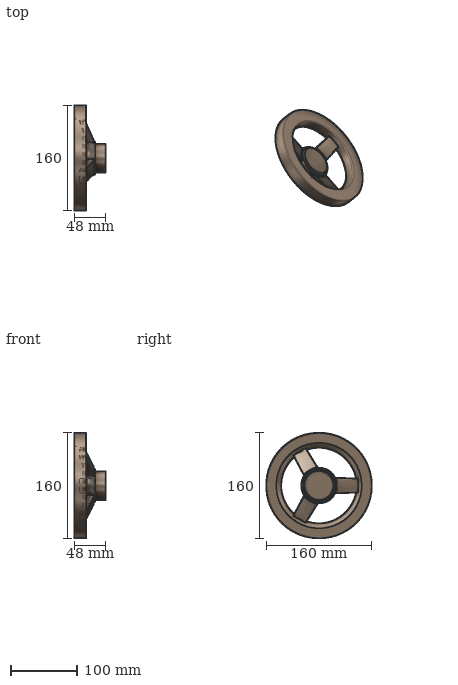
import cadquery as cq
import math

rim_radius = 80.0
rim_width = 18.0
rim_edge_round = 1.0
bore_front_radius = 59.6
bore_front_round = 2.0
bore_taper_angle = 11.6
bevel_front_x = 13.5
bevel_angle = 60.0
bevel_round = 1.2

hub_front_x = 16.3
hub_bevel_back_x = 17.3
collar_front_x = 18.1
collar_middle_x = 24.2
collar_back_x = 32.0
hub_back_x = 48.0
hub_radius = 22.0
hub_back_round = 2.0
hub_bevel_radius = 23.7
collar_front_radius = 24.9
collar_middle_radius = 27.0
collar_back_radius = 24.0

spoke_count = 3
spoke_inner_radius = 20.0
spoke_outer_radius = 59.0
spoke_inner_width = 24.2
spoke_outer_width = 21.5
spoke_flat_x = 29.6
spoke_landing_x = 18.7

front_edge_inner_x = 20.8
front_edge_outer_x = 6.7
front_bow = 0.7
back_edge_inner_x = 32.1
back_edge_outer_x = 15.2
back_inner_bow = 0.7
back_outer_bow = 0.1


def turned(profile):
    """Solid of revolution about the X axis."""
    return profile.close().revolve(360, (0, 0, 0), (1, 0, 0))


def make_rim():
    """Ring whose bore narrows toward the back and ends in a wide rear bevel."""
    throat_radius = bore_front_radius - bevel_front_x * math.tan(math.radians(bore_taper_angle))
    bevel_depth = rim_width - bevel_front_x
    bevel_outer_radius = throat_radius + bevel_depth * math.tan(math.radians(bevel_angle))
    profile = (
        cq.Workplane("XY")
        .moveTo(0, bore_front_radius)
        .lineTo(0, rim_radius)
        .lineTo(rim_width, rim_radius)
        .lineTo(rim_width, bevel_outer_radius)
        .lineTo(bevel_front_x, throat_radius)
    )
    largest_circle = cq.selectors.RadiusNthSelector(-1)
    smallest_circle = cq.selectors.RadiusNthSelector(0)
    ring = turned(profile)
    ring = ring.edges(smallest_circle).fillet(bevel_round)
    ring = ring.edges(largest_circle).fillet(rim_edge_round)
    return ring.faces("<X").edges(smallest_circle).fillet(bore_front_round)


def make_hub():
    """Beveled front, bulging collar and rear cylinder in one turned profile."""
    profile = (
        cq.Workplane("XY")
        .moveTo(hub_front_x, 0)
        .lineTo(hub_front_x, hub_radius)
        .lineTo(hub_bevel_back_x, hub_bevel_radius)
        .lineTo(collar_front_x, collar_front_radius)
        .threePointArc((collar_middle_x, collar_middle_radius), (collar_back_x, collar_back_radius))
        .lineTo(collar_back_x, hub_radius)
        .lineTo(hub_back_x, hub_radius)
        .lineTo(hub_back_x, 0)
    )
    hub = turned(profile).faces(">X").edges().fillet(hub_back_round)
    return hub.rotate((0, 0, 0), (1, 0, 0), 180)


def spoke_section(radius, width, front_x, back_x, back_bow):
    """Cross-section of the +Y spoke at one radius, both faces bowed toward +X."""
    half = width / 2
    return (
        cq.Workplane("XZ", origin=(0, radius, 0))
        .moveTo(front_x, -half)
        .threePointArc((front_x + front_bow, 0), (front_x, half))
        .lineTo(back_x, half)
        .threePointArc((back_x + back_bow, 0), (back_x, -half))
        .close()
        .wire()
        .val()
    )


def slab(start_x, end_x):
    """Block across the whole wheel between two X positions."""
    block = cq.Workplane("XY").box(
        end_x - start_x, 2 * rim_radius, 2 * rim_radius, centered=(False, True, True)
    )
    return block.translate((start_x, 0, 0))


def make_spoke():
    """The +Y spoke: a straight taper from hub to rim, cut flat behind."""
    inner = spoke_section(
        spoke_inner_radius, spoke_inner_width, front_edge_inner_x, back_edge_inner_x, back_inner_bow
    )
    outer = spoke_section(
        spoke_outer_radius, spoke_outer_width, front_edge_outer_x, back_edge_outer_x, back_outer_bow
    )
    arm = cq.Workplane(cq.Solid.makeLoft([inner, outer], True))
    landing_depth = front_edge_inner_x + front_bow - spoke_landing_x
    shifted_arm = arm.translate((-landing_depth, 0, 0))
    landing = shifted_arm.intersect(slab(spoke_landing_x, front_edge_inner_x))
    return arm.union(landing).intersect(slab(0, spoke_flat_x))


def about_axis(shape, index):
    """Turn a shape to the given spoke position."""
    return shape.rotate((0, 0, 0), (1, 0, 0), index * 360 / spoke_count)


wheel_center = make_hub()
for index in range(spoke_count):
    wheel_center = wheel_center.union(about_axis(make_spoke(), index))

result = wheel_center.union(make_rim())